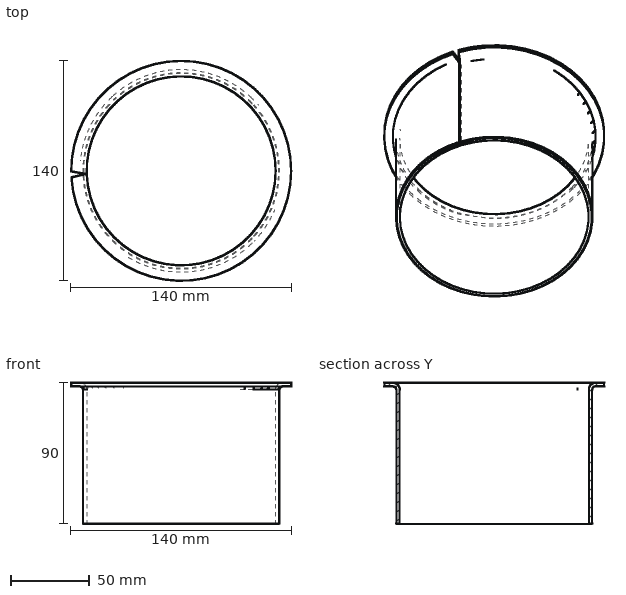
import cadquery as cq
import math

bore_diameter = 120.0
flange_diameter = 140.0
wall = 2.5
total_height = 90.0
outer_bend_radius = 2.0
bottom_chamfer = 0.5

wall_gap_width = 0.5
rim_gap_width = 3.8
rim_gap_offset = 2.25

inner_radius = bore_diameter / 2
outer_radius = inner_radius + wall
flange_radius = flange_diameter / 2
inner_bend_radius = outer_bend_radius + wall
bend_center_radius = outer_radius + outer_bend_radius
bend_center_height = total_height - inner_bend_radius
flange_underside = total_height - wall
gap_angle = math.degrees(math.asin(rim_gap_offset / flange_radius))


def bend_midpoint(radius):
    """Middle of the quarter arc that turns the vertical wall into the flange."""
    reach = radius * math.sqrt(0.5)
    return (bend_center_radius - reach, bend_center_height + reach)


def flanged_bush():
    """Thin tube whose upper end bends outward into a flat flange."""
    profile = (
        cq.Workplane("XZ")
        .moveTo(inner_radius, 0)
        .lineTo(outer_radius - bottom_chamfer, 0)
        .lineTo(outer_radius, bottom_chamfer)
        .lineTo(outer_radius, bend_center_height)
        .threePointArc(bend_midpoint(outer_bend_radius), (bend_center_radius, flange_underside))
        .lineTo(flange_radius, flange_underside)
        .lineTo(flange_radius, total_height)
        .lineTo(bend_center_radius, total_height)
        .threePointArc(bend_midpoint(inner_bend_radius), (inner_radius, bend_center_height))
        .close()
    )
    return profile.revolve(360, (0, 0, 0), (0, 1, 0))


def split_gap():
    """Narrow full-height split through the wall that opens into a V across the flange."""
    clearance = 1.0
    wall_half = wall_gap_width / 2
    rim_half = rim_gap_width / 2
    slope = (rim_half - wall_half) / (flange_radius - outer_radius)
    far_half = rim_half + slope * clearance
    near_radius = inner_radius - clearance
    far_radius = flange_radius + clearance
    gap = (
        cq.Workplane("XY")
        .polyline([
            (-near_radius, wall_half),
            (-outer_radius, wall_half),
            (-far_radius, far_half),
            (-far_radius, -far_half),
            (-outer_radius, -wall_half),
            (-near_radius, -wall_half),
        ])
        .close()
        .extrude(total_height)
    )
    return gap.rotate((0, 0, 0), (0, 0, 1), gap_angle)


result = flanged_bush().cut(split_gap())